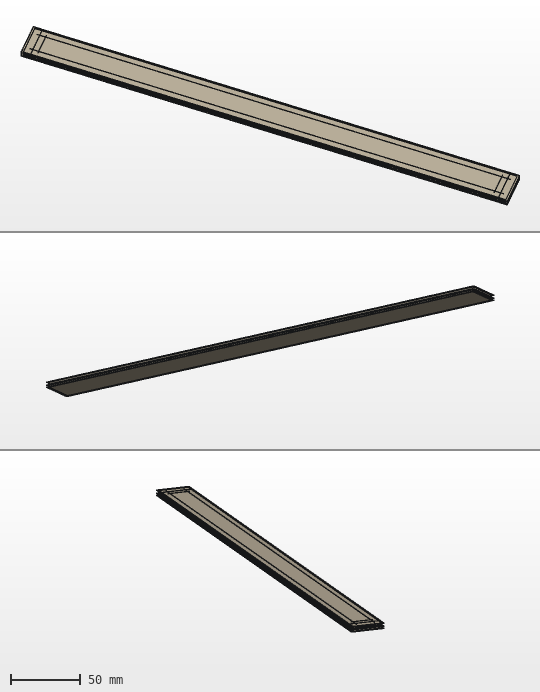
import cadquery as cq

LENGTH = 374.5
WIDTH = 25.0
HEIGHT = 4.0

CORE_END_INSET = 1.5
CORE_SIDE_INSET = 1.0
CORE_LENGTH = LENGTH - 2 * CORE_END_INSET
CORE_WIDTH = WIDTH - 2 * CORE_SIDE_INSET

FLANGE_THICKNESS = 0.22
MIDDLE_FLANGE_BOTTOM = 1.65

SEAM_HEIGHT = 2.5

SCORE_WIDTH = 0.07
SCORE_DEPTH = 0.15
FRAME_BAND = 4.5
OUTER_SIDE_Y = CORE_WIDTH / 2
INNER_SIDE_Y = OUTER_SIDE_Y - FRAME_BAND
OUTER_END_X = LENGTH / 2 - 7.0
INNER_END_X = OUTER_END_X - FRAME_BAND
INNER_SIDE_SCORE_LENGTH = LENGTH - 2 * 5.0
INNER_END_SCORE_LENGTH = 17.0


def block(length, width, bottom, top):
    """Centred rectangular block between two heights."""
    return cq.Workplane("XY").workplane(offset=bottom).rect(length, width).extrude(top - bottom)


def flange(bottom):
    """Thin sheet covering the full outline."""
    return block(LENGTH, WIDTH, bottom, bottom + FLANGE_THICKNESS)


def core(bottom, top):
    return block(CORE_LENGTH, CORE_WIDTH, bottom, top)


def score(length, width, x, y):
    """Narrow groove in the top face."""
    return block(length, width, HEIGHT - SCORE_DEPTH, HEIGHT).translate((x, y, 0))


def make_base():
    body = core(0, SEAM_HEIGHT)
    for bottom in (0, MIDDLE_FLANGE_BOTTOM):
        body = body.union(flange(bottom))
    return body


def make_cover():
    body = core(SEAM_HEIGHT, HEIGHT).union(flange(HEIGHT - FLANGE_THICKNESS))
    side_scores = ((OUTER_SIDE_Y, CORE_LENGTH), (INNER_SIDE_Y, INNER_SIDE_SCORE_LENGTH))
    end_scores = ((OUTER_END_X, CORE_WIDTH), (INNER_END_X, INNER_END_SCORE_LENGTH))
    for sign in (-1, 1):
        for y, length in side_scores:
            body = body.cut(score(length, SCORE_WIDTH, 0, sign * y))
        for x, length in end_scores:
            body = body.cut(score(SCORE_WIDTH, length, sign * x, 0))
    return body


base = make_base()
cover = make_cover()
result = cq.Compound.makeCompound([base.val(), cover.val()])